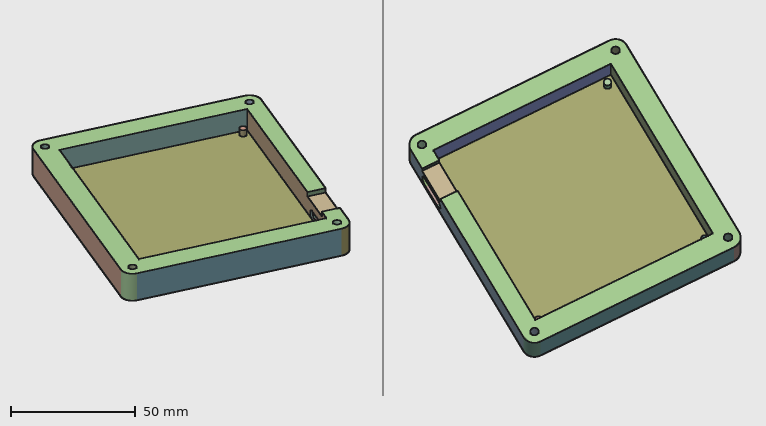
import cadquery as cq

LENGTH = 105.0
WIDTH = 98.5
HEIGHT = 13.0
CORNER_RADIUS = 5.0

FLOOR_THICKNESS = 2.9
SIDE_WALL = 9.5
FRONT_WALL = 9.6
BACK_WALL = 7.9
CAVITY_LEFT = -LENGTH / 2 + SIDE_WALL
CAVITY_FRONT = -WIDTH / 2 + FRONT_WALL
CAVITY_BACK = WIDTH / 2 - BACK_WALL

SCREW_HOLE_DIAMETER = 3.4
SCREW_SPACING_X = LENGTH - 2 * CORNER_RADIUS
SCREW_SPACING_Y = WIDTH - 2 * CORNER_RADIUS

PIN_DIAMETER = 3.0
PIN_HEIGHT = 3.0
LEFT_PIN_X = -40.5
PIN_CENTRES = [(LEFT_PIN_X, 38.6), (LEFT_PIN_X, -37.3), (39.5, -36.2)]

NOTCH_CENTRE_X = 30.2
NOTCH_WIDTH = 15.4
NOTCH_DEPTH = 2.1

PORT_CENTRE_X = NOTCH_CENTRE_X
PORT_LENGTH = 9.8
PORT_HEIGHT = 3.7
PORT_FLOOR_GAP = 0.2
PORT_CENTRE_Z = FLOOR_THICKNESS + PORT_FLOOR_GAP + PORT_HEIGHT / 2
RECESS_LENGTH = 15.3
RECESS_HEIGHT = 6.0
RECESS_DEPTH = 6.9


def make_body():
    return (
        cq.Workplane("XY")
        .box(LENGTH, WIDTH, HEIGHT, centered=(True, True, False))
        .edges("|Z")
        .fillet(CORNER_RADIUS)
    )


def make_cavity():
    cavity_size = (LENGTH - 2 * SIDE_WALL, CAVITY_BACK - CAVITY_FRONT, HEIGHT - FLOOR_THICKNESS)
    return (
        cq.Workplane("XY", origin=(CAVITY_LEFT, CAVITY_FRONT, FLOOR_THICKNESS))
        .box(*cavity_size, centered=False)
    )


def make_screw_holes():
    return (
        cq.Workplane("XY")
        .rect(SCREW_SPACING_X, SCREW_SPACING_Y, forConstruction=True)
        .vertices()
        .circle(SCREW_HOLE_DIAMETER / 2)
        .extrude(HEIGHT)
    )


def make_pins():
    return (
        cq.Workplane("XY")
        .pushPoints(PIN_CENTRES)
        .circle(PIN_DIAMETER / 2)
        .extrude(FLOOR_THICKNESS + PIN_HEIGHT)
    )


def make_notch():
    return (
        cq.Workplane("XY", origin=(NOTCH_CENTRE_X, CAVITY_BACK, HEIGHT - NOTCH_DEPTH))
        .box(NOTCH_WIDTH, BACK_WALL, NOTCH_DEPTH, centered=(True, False, False))
    )


def make_wall_slot(length, height, depth):
    """Round-ended slot running inward from the outer face of the back wall."""
    return (
        cq.Workplane("XZ", origin=(PORT_CENTRE_X, WIDTH / 2, PORT_CENTRE_Z))
        .slot2D(length, height)
        .extrude(depth)
    )


result = (
    make_body()
    .cut(make_cavity())
    .cut(make_screw_holes())
    .cut(make_notch())
    .cut(make_wall_slot(PORT_LENGTH, PORT_HEIGHT, BACK_WALL))
    .cut(make_wall_slot(RECESS_LENGTH, RECESS_HEIGHT, RECESS_DEPTH))
    .union(make_pins())
)